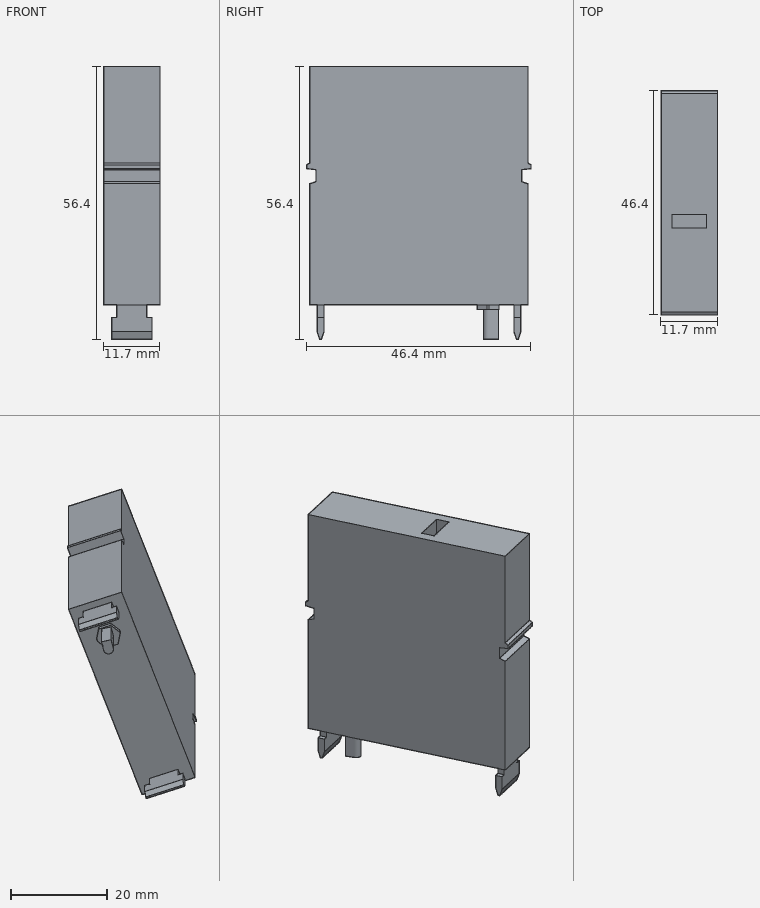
import cadquery as cq
import math

housing_width = 11.7
housing_depth = 45.1
housing_height = 49.3
overall_height = 56.4

rim_depth = 46.4
rim_face_bottom = 28.15
rim_face_top = 28.95
rim_slope_top = 29.3
groove_depth = 1.3
groove_slope_bottom = 25.05
groove_floor_bottom = 25.5
groove_floor_top = 27.9

window_width = 7.15
window_length = 2.8
window_depth = 3.4
window_y = -3.8

pin_drop = overall_height - housing_height
front_blade_y = -20.3
back_blade_y = 20.35
blade_thickness = 1.45
blade_width = 8.35
neck_width = 6.25
neck_drop = 2.6
tip_length = 1.6
tip_thickness = 0.4

coding_pin_y = 14.3
coding_pin_angle = 7.0
collar_sides = 6
collar_across_flats = 4.55
collar_ridge_flat = 0.4
collar_height = 0.95
bar_radius = 1.0
bar_straight = 2.05


def make_housing():
    """Extrude the Y-Z outline, with a rim and groove at each end, across the width."""
    end = housing_depth / 2
    rim = rim_depth / 2
    groove = end - groove_depth
    positive_end = [
        (end, 0),
        (end, groove_slope_bottom),
        (groove, groove_floor_bottom),
        (groove, groove_floor_top),
        (rim, rim_face_bottom),
        (rim, rim_face_top),
        (end, rim_slope_top),
        (end, housing_height),
    ]
    negative_end = [(-y, z) for y, z in reversed(positive_end)]
    outline = cq.Workplane("YZ").polyline(positive_end + negative_end).close()
    return outline.extrude(housing_width / 2, both=True)


def make_window():
    """Block removed from the top face."""
    return (
        cq.Workplane("XY", origin=(0, window_y, housing_height))
        .rect(window_width, window_length)
        .extrude(-window_depth)
    )


def make_blade(y):
    """T-shaped contact blade with a tapered tip, hanging below the housing."""
    neck = (
        cq.Workplane("XY", origin=(0, y, 0))
        .rect(neck_width, blade_thickness)
        .extrude(-neck_drop)
    )
    half = blade_thickness / 2
    half_tip = tip_thickness / 2
    taper_top = tip_length - pin_drop
    section = [
        (y - half, -neck_drop),
        (y - half, taper_top),
        (y - half_tip, -pin_drop),
        (y + half_tip, -pin_drop),
        (y + half, taper_top),
        (y + half, -neck_drop),
    ]
    blade = cq.Workplane("YZ").polyline(section).close().extrude(blade_width / 2, both=True)
    return neck.union(blade)


def make_coding_pin():
    """Hexagonal collar, its corners on the X axis cut flat, and the rotated bar below it."""
    half_side_angle = math.pi / collar_sides
    corner_to_corner = collar_across_flats / math.cos(half_side_angle)
    collar_length_x = corner_to_corner - collar_ridge_flat * math.tan(half_side_angle)
    hexagon = (
        cq.Workplane("XY")
        .polygon(collar_sides, corner_to_corner)
        .extrude(-collar_height)
    )
    ridge_limit = (
        cq.Workplane("XY")
        .rect(collar_length_x, collar_across_flats)
        .extrude(-collar_height)
    )
    collar = hexagon.intersect(ridge_limit)
    bar = (
        cq.Workplane("XY")
        .moveTo(-bar_radius, bar_straight)
        .lineTo(-bar_radius, 0)
        .threePointArc((0, -bar_radius), (bar_radius, 0))
        .lineTo(bar_radius, bar_straight)
        .close()
        .extrude(-pin_drop)
        .rotate((0, 0, 0), (0, 0, 1), coding_pin_angle)
    )
    return collar.union(bar).translate((0, coding_pin_y, 0))


result = make_housing().cut(make_window())
for blade_position in (front_blade_y, back_blade_y):
    result = result.union(make_blade(blade_position))
result = result.union(make_coding_pin())